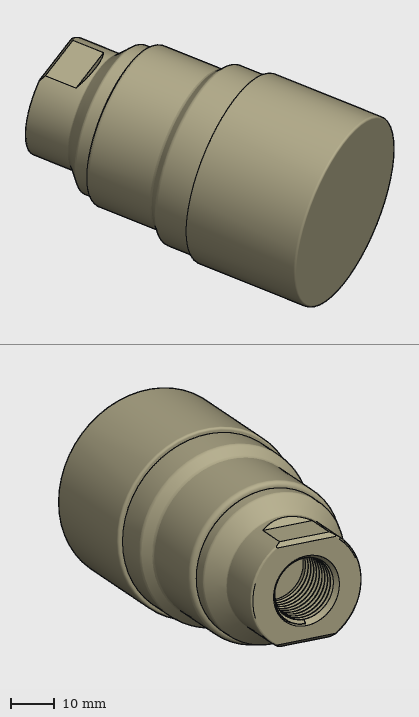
import cadquery as cq

length = 76.3
neck_r = 14.5
ring_r = 18.55
middle_r = 20.0
collar_r = 22.35
head_r = 23.5

neck_end = 11.5
middle_start = 18.9
middle_end = 36.5
head_start = 47.3
cone_end = neck_end + (ring_r - neck_r)
collar_start = middle_end + (collar_r - middle_r)

neck_round = 0.45
cone_root_round = 0.4
ring_round = 0.8
middle_round = 1.2
collar_round = 1.0
head_round = 0.6
end_round = 0.5
position_tolerance = 0.01

flat_height = 13.0
flat_end = 9.1
flat_lead_in = 1.0
cut_clearance = 0.8

bore_r = 7.5
bore_depth = 15.25
mouth_r = 8.6
thread_major_r = 8.3
thread_pitch = 1.335
thread_start = 0.5
groove_base_width = 1.2
groove_root_width = 0.3
groove_overlap = 0.1


def round_rim(body, x, radius, size):
    """Round the circular edge of the given radius at position x on the axis."""
    def is_rim(edge):
        return (
            edge.geomType() == "CIRCLE"
            and abs(edge.Center().x - x) < position_tolerance
            and abs(edge.radius() - radius) < position_tolerance
        )

    rim = [edge for edge in body.edges().vals() if is_rim(edge)]
    return body.newObject(rim).fillet(size)


def make_body():
    profile = [
        (0, 0),
        (0, neck_r),
        (neck_end, neck_r),
        (cone_end, ring_r),
        (middle_start, ring_r),
        (middle_start, middle_r),
        (middle_end, middle_r),
        (collar_start, collar_r),
        (head_start, collar_r),
        (head_start, head_r),
        (length, head_r),
        (length, 0),
    ]
    body = cq.Workplane("XY").polyline(profile).close().revolve(360, (0, 0, 0), (1, 0, 0))
    rims = [
        (0, neck_r, neck_round),
        (neck_end, neck_r, cone_root_round),
        (cone_end, ring_r, ring_round),
        (middle_start, middle_r, middle_round),
        (middle_end, middle_r, collar_round),
        (collar_start, collar_r, collar_round),
        (head_start, head_r, head_round),
        (length, head_r, end_round),
    ]
    for x, radius, size in rims:
        body = round_rim(body, x, radius, size)
    return body


def make_flat_cutter():
    """Material above the upper flat, with a 45 degree slope at each end."""
    clear_height = neck_r + cut_clearance
    outline = [
        (0, flat_height - flat_lead_in),
        (flat_lead_in, flat_height),
        (flat_end, flat_height),
        (flat_end + clear_height - flat_height, clear_height),
        (0, clear_height),
    ]
    return cq.Workplane("XZ").polyline(outline).close().extrude(neck_r, both=True)


def make_bore():
    mouth_depth = mouth_r - bore_r
    outline = [
        (0, 0),
        (0, mouth_r),
        (mouth_depth, bore_r),
        (bore_depth, bore_r),
        (bore_depth, 0),
    ]
    return cq.Workplane("XY").polyline(outline).close().revolve(360, (0, 0, 0), (1, 0, 0))


def make_thread_groove():
    """Right-hand groove with sloped flanks and a flat root, wound along Z and then laid along X."""
    inner_r = bore_r - groove_overlap
    groove_length = bore_depth - thread_start - thread_pitch
    helix = cq.Wire.makeHelix(thread_pitch, groove_length, inner_r)
    half_base = groove_base_width / 2
    half_root = groove_root_width / 2
    outline = [
        (inner_r, -half_base),
        (thread_major_r, -half_root),
        (thread_major_r, half_root),
        (inner_r, half_base),
    ]
    groove = (
        cq.Workplane("XZ")
        .polyline(outline)
        .close()
        .sweep(cq.Workplane(helix), isFrenet=True)
    )
    return groove.rotate((0, 0, 0), (0, 1, 0), 90).translate((thread_start, 0, 0))


upper_flat = make_flat_cutter()
lower_flat = upper_flat.mirror("XY")
result = make_body().cut(upper_flat).cut(lower_flat).cut(make_bore()).cut(make_thread_groove())